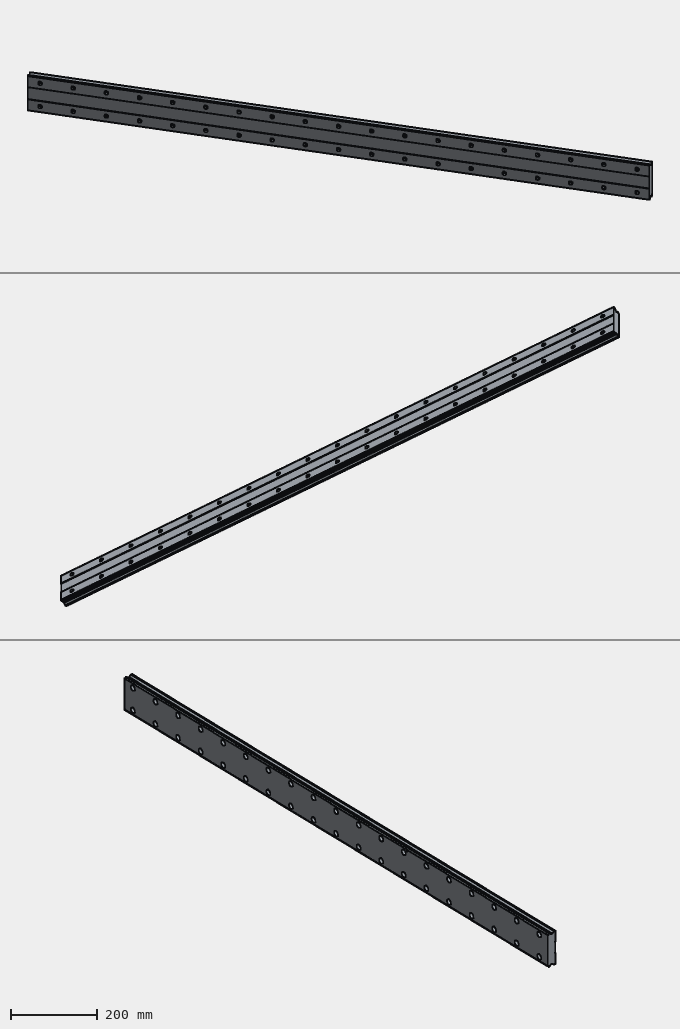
import cadquery as cq

LENGTH = 1500.0
HEIGHT = 24.0
WIDTH = 90.0

HOLE_DIAMETER = 9.0
COUNTERBORE_DIAMETER = 14.0
COUNTERBORE_DEPTH = 12.0
HOLE_PITCH = 80.0
HOLES_PER_ROW = 19
ROW_SPACING = 60.0

RELIEF_WIDTH = 32.0
RELIEF_DEPTH = 1.0

BASE_CHAMFER = 1.0

GROOVE_FLOOR = 4.2
GROOVE_DEPTH = 4.4
BASE_WALL_RUN = 5.3
TOP_WALL_RUN = GROOVE_DEPTH

RACEWAY_RUN = 3.85
RACEWAY_INSET = 2.88
RACEWAY_SAGITTA = 1.5

BASE = -HEIGHT / 2
TOP = HEIGHT / 2
SIDE = WIDTH / 2


def raceway_midpoint():
    """Deepest point of the raceway arc, as (Y, Z)."""
    chord = (RACEWAY_RUN**2 + RACEWAY_INSET**2) ** 0.5
    y = TOP - RACEWAY_RUN / 2 - RACEWAY_SAGITTA * RACEWAY_INSET / chord
    z = SIDE - RACEWAY_INSET / 2 - RACEWAY_SAGITTA * RACEWAY_RUN / chord
    return y, z


def half_rail():
    """The +Z half of the rail, bounded by the plane Z = 0."""
    floor_z = SIDE - GROOVE_DEPTH
    floor_start = -GROOVE_FLOOR / 2
    floor_end = GROOVE_FLOOR / 2
    return (
        cq.Workplane("YZ", origin=(-LENGTH / 2, 0, 0))
        .moveTo(BASE + RELIEF_DEPTH, 0)
        .lineTo(BASE + RELIEF_DEPTH, RELIEF_WIDTH / 2 - RELIEF_DEPTH)
        .lineTo(BASE, RELIEF_WIDTH / 2)
        .lineTo(BASE, SIDE - BASE_CHAMFER)
        .lineTo(BASE + BASE_CHAMFER, SIDE)
        .lineTo(floor_start - BASE_WALL_RUN, SIDE)
        .lineTo(floor_start, floor_z)
        .lineTo(floor_end, floor_z)
        .lineTo(floor_end + TOP_WALL_RUN, SIDE)
        .lineTo(TOP - RACEWAY_RUN, SIDE)
        .threePointArc(raceway_midpoint(), (TOP, SIDE - RACEWAY_INSET))
        .lineTo(TOP, 0)
        .close()
        .extrude(LENGTH)
    )


def rail_body():
    half = half_rail()
    return half.union(half.mirror("XY")).clean()


def drill_mounting_holes(rail):
    """Through holes whose counterbores open on the top face."""
    top_plane = cq.Plane(origin=(0, TOP, 0), xDir=(1, 0, 0), normal=(0, 1, 0))
    return (
        rail.copyWorkplane(cq.Workplane(top_plane))
        .rarray(HOLE_PITCH, ROW_SPACING, HOLES_PER_ROW, 2)
        .cboreHole(HOLE_DIAMETER, COUNTERBORE_DIAMETER, COUNTERBORE_DEPTH)
    )


result = drill_mounting_holes(rail_body())